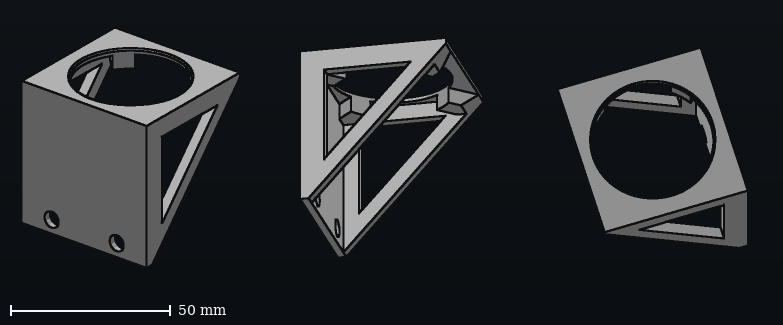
import cadquery as cq
import math

width = 50.0
depth = 47.0
height = 50.0

plate_thickness = 2.0
front_wall_thickness = 2.83
side_wall_thickness = 4.0

window_frame_width = 5.0

opening_diameter = 38.0
opening_chamfer = 0.6

block_width = 7.1
block_drop = plate_thickness + window_frame_width

mount_hole_diameter = 5.5
mount_hole_spacing = 26.0
mount_hole_height = 5.0

front_y = -depth / 2
back_y = depth / 2
inner_front_y = front_y + front_wall_thickness
inner_width = width - 2 * side_wall_thickness

plate_underside_z = height - plate_thickness
slope_run = back_y - inner_front_y
slope_gradient = plate_underside_z / slope_run


def prism(points, length):
    """Extrude a YZ outline along X, centred on X = 0."""
    return cq.Workplane("YZ").polyline(points).close().extrude(length / 2, both=True)


def outer_wedge():
    return prism(
        [
            (front_y, 0),
            (inner_front_y, 0),
            (back_y, plate_underside_z),
            (back_y, height),
            (front_y, height),
        ],
        width,
    )


def inner_cavity():
    """Space under the plate and behind the front wall, open at the back."""
    return (
        cq.Workplane("XY")
        .box(inner_width, slope_run, plate_underside_z, centered=(True, False, False))
        .translate((0, inner_front_y, 0))
    )


def side_windows():
    frame_height = window_frame_width * math.hypot(1, slope_gradient)
    window_top_z = plate_underside_z - window_frame_width
    window_front_y = inner_front_y + window_frame_width
    window_bottom_z = slope_gradient * window_frame_width + frame_height
    window_back_y = inner_front_y + (window_top_z - frame_height) / slope_gradient
    return prism(
        [
            (window_front_y, window_bottom_z),
            (window_back_y, window_top_z),
            (window_front_y, window_top_z),
        ],
        width,
    )


def corner_blocks():
    """Diagonal bars under the plate, trimmed to the outside of the wedge."""
    bar_length = math.hypot(width, depth)
    blocks = cq.Workplane("XY")
    for angle in (45, 135):
        bar = (
            cq.Workplane("XY")
            .box(bar_length, block_width, block_drop, centered=(True, True, False))
            .rotate((0, 0, 0), (0, 0, 1), angle)
            .translate((0, 0, height - block_drop))
        )
        blocks = blocks.add(bar)
    return blocks.combine().intersect(outer_wedge())


def round_opening():
    """Cylinder through the plate and blocks, flared by the top chamfer."""
    opening_radius = opening_diameter / 2
    cylinder = (
        cq.Workplane("XY")
        .workplane(offset=height - block_drop)
        .circle(opening_radius)
        .extrude(block_drop)
    )
    flare = cq.Solid.makeCone(
        opening_radius,
        opening_radius + opening_chamfer,
        opening_chamfer,
        pnt=cq.Vector(0, 0, height - opening_chamfer),
    )
    return cylinder.union(cq.Workplane(flare))


def mount_holes():
    half_spacing = mount_hole_spacing / 2
    return (
        cq.Workplane("XZ", origin=(0, inner_front_y, 0))
        .pushPoints([(-half_spacing, mount_hole_height), (half_spacing, mount_hole_height)])
        .circle(mount_hole_diameter / 2)
        .extrude(front_wall_thickness)
    )


result = (
    outer_wedge()
    .cut(inner_cavity())
    .cut(side_windows())
    .union(corner_blocks())
    .cut(round_opening())
    .cut(mount_holes())
)